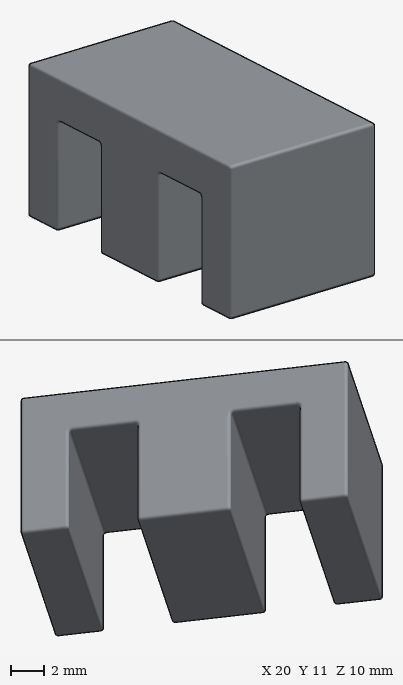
import cadquery as cq

length = 20.0
width = 11.0
height = 10.0

center_leg = 5.7
slot_width = 4.2
slot_depth = 7.2
edge_radius = 0.2

slot_offset = (center_leg + slot_width) / 2


def make_slot(center_x):
    """Slot open at the bottom, with rounded inner corners, running through Y."""
    return (
        cq.Workplane("XY")
        .box(slot_width, width, slot_depth, centered=(True, True, False))
        .edges("|Y and >Z")
        .fillet(edge_radius)
        .translate((center_x, 0, 0))
    )


core = cq.Workplane("XY").box(length, width, height, centered=(True, True, False))
for side in (-1, 1):
    core = core.cut(make_slot(side * slot_offset))

outer_edges = core.faces("<Y or >Y or <X or >X or <Z or >Z").edges()
result = outer_edges.fillet(edge_radius)